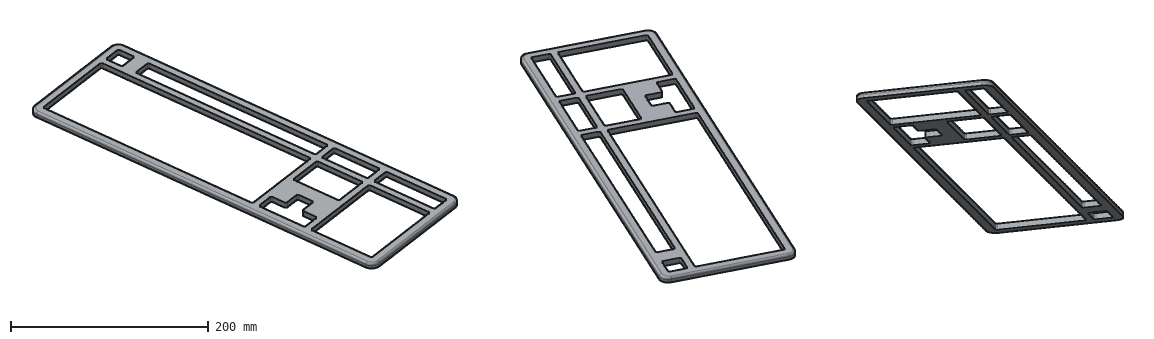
import cadquery as cq

length = 441.0
width = 146.0
thickness = 6.5
corner_radius = 9.5
edge_fillet = 2.55

main_rows = 5
main_rows_span = 95.3
key_pitch = main_rows_span / main_rows
clearance = 1.6
block_gap = 8.0
opening_radius = 1.8

main_keys = 14
navigation_keys = 3
navigation_rows = 2
number_keys = 4
function_key_offset = 2
function_keys = main_keys - function_key_offset


def span(keys):
    """Length of an opening that holds a number of keys in a row."""
    return keys * key_pitch + clearance


blocks_length = span(main_keys) + span(navigation_keys) + span(number_keys) + 2 * block_gap
main_left = -blocks_length / 2
navigation_left = main_left + span(main_keys) + block_gap
number_left = navigation_left + span(navigation_keys) + block_gap
function_left = main_left + function_key_offset * key_pitch

blocks_width = span(main_rows) + block_gap + span(1)
main_bottom = -blocks_width / 2
function_bottom = main_bottom + span(main_rows) + block_gap
navigation_bottom = main_bottom + (main_rows - navigation_rows) * key_pitch


def key_block(left, bottom, columns, rows):
    """Sharp-cornered cutter for a rectangular block of keys."""
    block = cq.Workplane("XY").box(span(columns), span(rows), thickness, centered=False)
    return block.translate((left, bottom, 0))


def arrow_block():
    """Cutter for the inverted-T arrow keys: a row of three with one key above the middle."""
    bottom_row = key_block(navigation_left, main_bottom, navigation_keys, 1)
    middle_column = key_block(navigation_left + key_pitch, main_bottom, 1, 2)
    return bottom_row.union(middle_column)


plate = (
    cq.Workplane("XY")
    .rect(length, width)
    .extrude(thickness)
    .edges("|Z")
    .fillet(corner_radius)
    .faces(">Z")
    .fillet(edge_fillet)
)

openings = [
    key_block(main_left, function_bottom, 1, 1),
    key_block(function_left, function_bottom, function_keys, 1),
    key_block(navigation_left, function_bottom, navigation_keys, 1),
    key_block(number_left, function_bottom, number_keys, 1),
    key_block(main_left, main_bottom, main_keys, main_rows),
    key_block(navigation_left, navigation_bottom, navigation_keys, navigation_rows),
    key_block(number_left, main_bottom, number_keys, main_rows),
    arrow_block(),
]

result = plate
for opening in openings:
    result = result.cut(opening.edges("|Z").fillet(opening_radius))